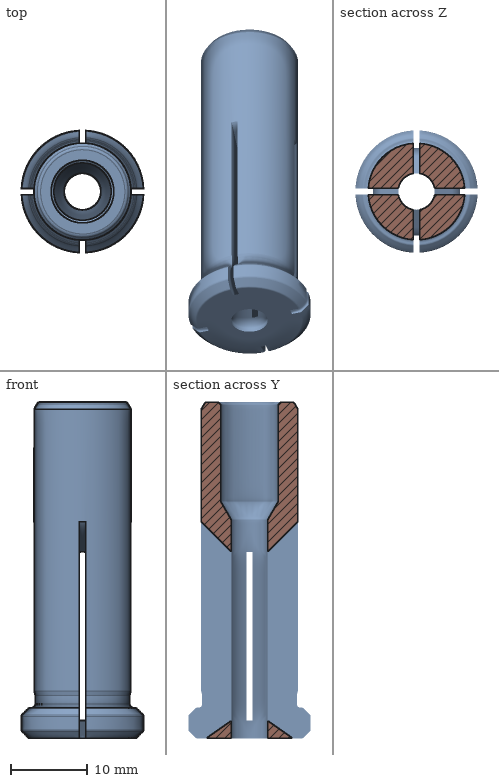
import cadquery as cq
import math

TOTAL_LENGTH = 44.0
BODY_DIAMETER = 12.7
FLANGE_DIAMETER = 16.0

TOP_CHAMFER_HEIGHT = 0.95
TOP_CHAMFER_ANGLE = 30.0
TOP_EDGE_ROUND = 0.5

FLANGE_HEIGHT = 4.0
FLANGE_CHAMFER = 1.0
FLANGE_EDGE_ROUND = 0.3
NECK_DIAMETER = 12.4
NECK_TOP = 5.65
NECK_TAPER_TOP = 6.2
NECK_FILLET = 0.5

UPPER_BORE_DIAMETER = 7.5
LOWER_BORE_DIAMETER = 4.76
UPPER_BORE_FLOOR = 31.0
BORE_CONE_ANGLE = 30.0
BORE_MOUTH_CHAMFER = 0.35

SLOT_COUNT = 4
SLOT_WIDTH = 0.8
SLOT_TOP_ON_AXIS = TOTAL_LENGTH / 2
SLOT_TOP_ANGLE = 45.0
SLOT_BOTTOM_ON_AXIS = FLANGE_HEIGHT
SLOT_BOTTOM_ANGLE = 35.0
SLOT_OVERCUT = 1.0

TOLERANCE = 0.001

body_radius = BODY_DIAMETER / 2
flange_radius = FLANGE_DIAMETER / 2
neck_radius = NECK_DIAMETER / 2
upper_bore_radius = UPPER_BORE_DIAMETER / 2
lower_bore_radius = LOWER_BORE_DIAMETER / 2


def revolve_profile(points):
    """Revolve a closed outline of (radius, height) points about the Z axis."""
    return cq.Workplane("XZ").polyline(points).close().revolve(360, (0, 0, 0), (0, 1, 0))


def round_circle(solid, radius, height, fillet_radius):
    """Fillet the circular edge that has the given radius and height."""
    circles = solid.edges("%CIRCLE").filter(
        lambda edge: math.isclose(edge.radius(), radius, abs_tol=TOLERANCE)
        and math.isclose(edge.Center().z, height, abs_tol=TOLERANCE)
    )
    return circles.fillet(fillet_radius)


def make_outside():
    """Chamfered sleeve on a flange, with a relieved neck between them."""
    top_radius = body_radius - TOP_CHAMFER_HEIGHT * math.tan(math.radians(TOP_CHAMFER_ANGLE))
    flange_face_radius = flange_radius - FLANGE_CHAMFER
    flange_rim_top = FLANGE_HEIGHT - FLANGE_CHAMFER
    outside = revolve_profile(
        [
            (0, 0),
            (flange_face_radius, 0),
            (flange_radius, FLANGE_CHAMFER),
            (flange_radius, flange_rim_top),
            (flange_face_radius, FLANGE_HEIGHT),
            (neck_radius, FLANGE_HEIGHT),
            (neck_radius, NECK_TOP),
            (body_radius, NECK_TAPER_TOP),
            (body_radius, TOTAL_LENGTH - TOP_CHAMFER_HEIGHT),
            (top_radius, TOTAL_LENGTH),
            (0, TOTAL_LENGTH),
        ]
    )
    flange_corners = [
        (flange_face_radius, 0),
        (flange_radius, FLANGE_CHAMFER),
        (flange_radius, flange_rim_top),
        (flange_face_radius, FLANGE_HEIGHT),
    ]
    for radius, height in flange_corners:
        outside = round_circle(outside, radius, height, FLANGE_EDGE_ROUND)
    outside = round_circle(outside, top_radius, TOTAL_LENGTH, TOP_EDGE_ROUND)
    return round_circle(outside, neck_radius, FLANGE_HEIGHT, NECK_FILLET)


def make_bore():
    """Stepped through bore whose step is a cone, with a chamfered mouth."""
    cone_height = (upper_bore_radius - lower_bore_radius) / math.tan(math.radians(BORE_CONE_ANGLE))
    return revolve_profile(
        [
            (0, 0),
            (lower_bore_radius, 0),
            (lower_bore_radius, UPPER_BORE_FLOOR - cone_height),
            (upper_bore_radius, UPPER_BORE_FLOOR),
            (upper_bore_radius, TOTAL_LENGTH - BORE_MOUTH_CHAMFER),
            (upper_bore_radius + BORE_MOUTH_CHAMFER, TOTAL_LENGTH),
            (0, TOTAL_LENGTH),
        ]
    )


def make_slot():
    """One radial slot toward +X, with sloping ends that widen it outward."""
    reach = flange_radius + SLOT_OVERCUT
    top_rise = reach * math.tan(math.radians(SLOT_TOP_ANGLE))
    bottom_drop = reach * math.tan(math.radians(SLOT_BOTTOM_ANGLE))
    outline = [
        (0, SLOT_BOTTOM_ON_AXIS),
        (reach, SLOT_BOTTOM_ON_AXIS - bottom_drop),
        (reach, SLOT_TOP_ON_AXIS + top_rise),
        (0, SLOT_TOP_ON_AXIS),
    ]
    return cq.Workplane("XZ").polyline(outline).close().extrude(SLOT_WIDTH / 2, both=True)


result = make_outside().cut(make_bore())
for index in range(SLOT_COUNT):
    slot_angle = index * 360 / SLOT_COUNT
    result = result.cut(make_slot().rotate((0, 0, 0), (0, 0, 1), slot_angle))